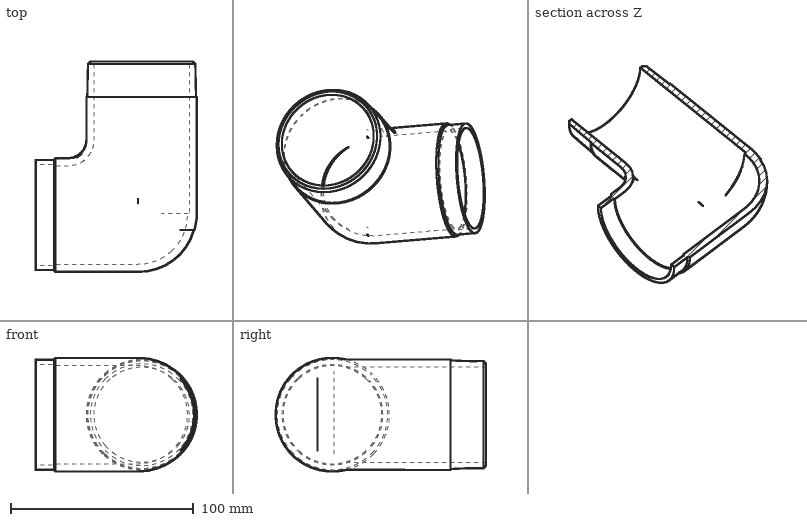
import cadquery as cq
import math

overall_x = 88.25
overall_y = 115.04

body_diameter = 62.2
rim_diameter = 60.3
rim_length = 10.0
rim_chamfer_length = 1.0
dome_start_x = 56.1
dome_depth = 31.6

leg_diameter = 60.5
leg_axis_x = overall_x - leg_diameter / 2
leg_tip_y = overall_y - body_diameter / 2
leg_base_y = 0.8
leg_cap_depth = 9.0
leg_cap_round = 32.0
taper_length = 19.3
taper_base_diameter = 59.6
taper_tip_diameter = 58.8
tip_chamfer = 1.5

socket_diameter = 55.1
socket_depth = 10.0
body_bore_diameter = 53.8
leg_bore_diameter = 52.1

outer_corner_fillet = 9.8
bore_corner_fillet = 14.0

X_AXIS = ((0, 0, 0), (1, 0, 0))
Y_AXIS = ((0, 0, 0), (0, 1, 0))


def dome(base_x, base_radius, depth):
    """Spherical cap on the X axis, given its base circle and depth."""
    sphere_radius = (base_radius**2 + depth**2) / (2 * depth)
    centre_x = base_x + depth - sphere_radius
    reach = sphere_radius * math.sqrt(0.5)
    return (
        cq.Workplane("XY")
        .moveTo(base_x, 0)
        .lineTo(base_x, -base_radius)
        .threePointArc((centre_x + reach, -reach), (base_x + depth, 0))
        .close()
        .revolve(360, *X_AXIS)
    )


def body_arm():
    """Straight part of the body, with a stepped-down rim at the open end."""
    body_radius = body_diameter / 2
    rim_radius = rim_diameter / 2
    return (
        cq.Workplane("XY")
        .lineTo(0, -rim_radius)
        .lineTo(rim_length, -rim_radius)
        .lineTo(rim_length + rim_chamfer_length, -body_radius)
        .lineTo(dome_start_x, -body_radius)
        .lineTo(dome_start_x, 0)
        .close()
        .revolve(360, *X_AXIS)
    )


def leg():
    """Leg with a tapered, chamfered tip and a rounded, flat-ended base."""
    radius = leg_diameter / 2
    step_y = leg_tip_y - taper_length
    tip_radius = taper_tip_diameter / 2
    cap_end_y = leg_base_y - leg_cap_depth

    def cap_radius(depth):
        return radius - leg_cap_round + math.sqrt(leg_cap_round**2 - depth**2)

    return (
        cq.Workplane("XY", origin=(leg_axis_x, 0, 0))
        .moveTo(0, cap_end_y)
        .lineTo(cap_radius(leg_cap_depth), cap_end_y)
        .threePointArc(
            (cap_radius(leg_cap_depth / 2), leg_base_y - leg_cap_depth / 2),
            (radius, leg_base_y),
        )
        .lineTo(radius, step_y)
        .lineTo(taper_base_diameter / 2, step_y)
        .lineTo(tip_radius, leg_tip_y - tip_chamfer)
        .lineTo(tip_radius - tip_chamfer, leg_tip_y)
        .lineTo(0, leg_tip_y)
        .close()
        .revolve(360, *Y_AXIS)
    )


def blended_corner(start_x, body_radius, leg_radius, fillet_radius):
    """Straight body cylinder and leg cylinder, filleted in the inside corner.

    The body cylinder runs up to the leg axis while the fillet is made, then
    everything past the start of the dome is trimmed away.
    """
    body_plane = cq.Plane(origin=(start_x, 0, 0), xDir=(0, -1, 0), normal=(1, 0, 0))
    body_cylinder = (
        cq.Workplane(body_plane)
        .circle(body_radius)
        .extrude(leg_axis_x - start_x)
    )
    straight_end_y = leg_tip_y - taper_length
    leg_cylinder = (
        cq.Workplane("XZ", origin=(leg_axis_x, leg_base_y, 0))
        .circle(leg_radius)
        .extrude(leg_base_y - straight_end_y)
    )
    joined = body_cylinder.union(leg_cylinder)
    corner_curves = [
        edge
        for edge in joined.edges("%BSPLINE").vals()
        if edge.BoundingBox().xmin < leg_axis_x - leg_radius / 2
    ]
    blended = joined.newObject(corner_curves).fillet(fillet_radius)
    kept_width = 2 * leg_tip_y
    kept_side = (
        cq.Workplane("YZ", origin=(start_x, 0, 0))
        .rect(kept_width, kept_width)
        .extrude(dome_start_x - start_x)
    )
    return blended.intersect(kept_side)


def outer_form():
    """Both arms, the dome and the blended corner as one solid elbow."""
    body_radius = body_diameter / 2
    rim_end_x = rim_length + rim_chamfer_length
    corner = blended_corner(rim_end_x, body_radius, leg_diameter / 2, outer_corner_fillet)
    outer_dome = dome(dome_start_x, body_radius, dome_depth)
    return corner.union(body_arm()).union(outer_dome).union(leg())


def bores():
    """Dome-ended body bore joined by the flat-ended leg bore."""
    bore_radius = body_bore_diameter / 2
    leg_bore_radius = leg_bore_diameter / 2
    socket = cq.Workplane("YZ").circle(socket_diameter / 2).extrude(socket_depth)
    leg_bore = (
        cq.Workplane("XZ", origin=(leg_axis_x, leg_base_y, 0))
        .circle(leg_bore_radius)
        .extrude(leg_base_y - leg_tip_y)
    )
    bore_dome = dome(dome_start_x, bore_radius, bore_radius)
    corner = blended_corner(0, bore_radius, leg_bore_radius, bore_corner_fillet)
    return corner.union(bore_dome).union(leg_bore).union(socket)


result = outer_form().cut(bores())